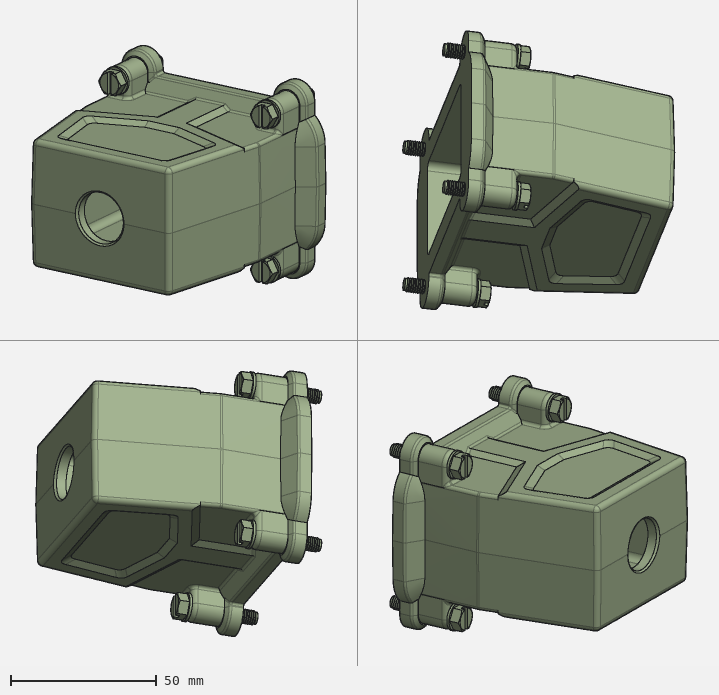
import cadquery as cq
import math


hood_depth = 74.8
hood_half_width = 36.55
front_half_width = 28.8
taper_start = 30.5
plateau_z = 23.1
relief_depth = 1.5
hood_draft = 1.3
front_edge_radius = 2.0
relief_edge_radius = 1.3
taper_blend_radius = 4.3

wall_run = 2.75
wall_angle = math.degrees(math.atan(wall_run / relief_depth))
strip_half_width = 5.8
shoulder_depth = 30.4
shoulder_slope = 0.355

pocket_top_half_width = 6.45
pocket_top_depth = 35.6
pocket_half_width = 27.4
pocket_bottom_depth = 67.9
pocket_bottom_half_width = 22.7
pocket_corner_radius = 6.0

flange_half_width = 43.0
flange_corner_half_width = 42.4
flange_corner_radius = 13.1
flange_half_height = 27.2
flange_edge_depth = 4.8
flange_slope_run = 6.9
flange_slope_depth = 4.3
plate_edge_radius = 1.0

screw_x = 31.4
screw_z = 28.0
lug_root_z = 20.6
pad_half_width = 7.05
pad_top_z = 35.48
pad_edge_depth = 4.8
pad_slope_run = 2.1
pad_slope_depth = 1.4
boss_half_width = 4.7
boss_top_z = 32.9
boss_depth = 17.9
boss_edge_radius = 2.15
hood_root_radius = 1.2
pad_root_radius = 0.9

washer_diameter = 10.0
washer_thickness = 0.95
head_across_flats = 8.0
head_height = 3.8
crown_height = 0.35
crown_inset = 0.8
slot_width = 1.5
slot_depth = 1.5
thread_diameter = 5.0
thread_root_diameter = 4.2
thread_pitch = 0.8
thread_turns = 8
thread_tip = 7.1

entry_diameter = 18.5
entry_chamfer = 0.9
front_wall = 4.3
cavity_half_width = 26.7
cavity_half_height = 18.9
cavity_corner_radius = 2.6


def mirrored_pair(upper):
    return upper.union(upper.mirror("XY"))


def edges_near(x, y):
    """Selector for the upright edges whose middle lies near (x, y)."""
    reach = 1.3
    return cq.selectors.BoxSelector((x - reach, y - reach, 0.9), (x + reach, y + reach, plateau_z - 0.9))


def hood_half(height, edge_radius):
    """Upper half of the drafted hood, from the parting plane to the given height."""
    outline = [
        (-hood_half_width, 0),
        (-hood_half_width, -taper_start),
        (-front_half_width, -hood_depth),
        (front_half_width, -hood_depth),
        (hood_half_width, -taper_start),
        (hood_half_width, 0),
    ]
    half = cq.Workplane("XY").polyline(outline).close().extrude(height, taper=hood_draft)
    for side in (-1, 1):
        half = half.edges(edges_near(side * hood_half_width, -taper_start)).fillet(taper_blend_radius)
        half = half.edges(edges_near(side * front_half_width, -hood_depth)).fillet(front_edge_radius)
    return half.faces(">Z").edges("not >Y").fillet(edge_radius)


def relief_cutter(side):
    """Sloped-wall cutter beside the raised strip, running out past the hood's side.

    It reaches below the relief floor so that the floor's own rounded side edge stays clear.
    """
    outer_x = flange_half_width + wall_run
    run_out_depth = shoulder_depth + shoulder_slope * (outer_x - strip_half_width)
    outline = [
        (side * strip_half_width, wall_run),
        (side * strip_half_width, -shoulder_depth),
        (side * outer_x, -run_out_depth),
        (side * outer_x, wall_run),
    ]
    plane = cq.Workplane("XY").workplane(offset=plateau_z)
    cutter = plane.polyline(outline).close().extrude(-relief_depth, taper=wall_angle)
    return cutter.faces("<Z").wires().toPending().workplane().extrude(relief_edge_radius)


def pocket_cutter():
    pocket_side_depth = pocket_top_depth + shoulder_slope * (pocket_half_width - pocket_top_half_width)
    outline = [
        (-pocket_top_half_width, -pocket_top_depth),
        (-pocket_half_width, -pocket_side_depth),
        (-pocket_bottom_half_width, -pocket_bottom_depth),
        (pocket_bottom_half_width, -pocket_bottom_depth),
        (pocket_half_width, -pocket_side_depth),
        (pocket_top_half_width, -pocket_top_depth),
    ]
    plane = cq.Workplane("XY").workplane(offset=plateau_z)
    pocket = plane.polyline(outline).close().extrude(-relief_depth, taper=wall_angle)
    corners = pocket.edges("not (<Z or >Z)").edges("not >Y")
    return corners.fillet(pocket_corner_radius)


def make_hood():
    raised = hood_half(plateau_z, front_edge_radius)
    for side in (-1, 1):
        raised = raised.cut(relief_cutter(side))
    upper = raised.union(hood_half(plateau_z - relief_depth, relief_edge_radius))
    return mirrored_pair(upper.cut(pocket_cutter()))


def slope_rim(plate, edge_depth, slope_depth, slope_run):
    """Slope the front rim of a plate inward and blend the slope into its straight sides."""
    plate = plate.faces("<Y").chamfer(slope_depth, slope_run)
    rim = cq.selectors.BoxSelector(
        (-hood_depth, -edge_depth - 0.1, -hood_depth), (hood_depth, -edge_depth + 0.1, hood_depth)
    )
    return plate.edges(rim).fillet(plate_edge_radius)


def make_flange():
    """Flange with slightly pointed ends and large corner rounds, sloping down onto the hood."""
    outline = [
        (-flange_half_width, 0),
        (-flange_corner_half_width, flange_half_height),
        (flange_corner_half_width, flange_half_height),
        (flange_half_width, 0),
        (flange_corner_half_width, -flange_half_height),
        (-flange_corner_half_width, -flange_half_height),
    ]
    flange = cq.Workplane("XZ").polyline(outline).close().extrude(flange_edge_depth + flange_slope_depth)
    flange = flange.edges("|Y").edges("<Z or >Z").fillet(flange_corner_radius)
    return slope_rim(flange, flange_edge_depth, flange_slope_depth, flange_slope_run)


def lug_outline(half_width, top_z):
    """Round-topped outline of the upper right lug, rooted inside the hood."""
    arc_z = top_z - half_width
    outline = cq.Workplane("XZ").moveTo(screw_x - half_width, lug_root_z)
    outline = outline.lineTo(screw_x - half_width, arc_z)
    outline = outline.threePointArc((screw_x, top_z), (screw_x + half_width, arc_z))
    return outline.lineTo(screw_x + half_width, lug_root_z).close()


def make_lug():
    pad = lug_outline(pad_half_width, pad_top_z).extrude(pad_edge_depth + pad_slope_depth)
    pad = slope_rim(pad, pad_edge_depth, pad_slope_depth, pad_slope_run)
    boss = lug_outline(boss_half_width, boss_top_z).extrude(boss_depth)
    boss = boss.faces("<Y").edges("not <Z").fillet(boss_edge_radius)
    return pad.union(boss)


def make_screw():
    """Slotted hexagon screw with washer; its grooved thread stands out behind the flange."""
    seat = cq.Workplane("XZ", origin=(screw_x, -boss_depth, screw_z))
    washer = seat.circle(washer_diameter / 2).extrude(washer_thickness)
    head_width = head_across_flats / math.cos(math.pi / 6)
    head_base = seat.workplane(offset=washer_thickness)
    head = head_base.polygon(6, head_width).extrude(head_height)
    crown = head_base.circle(head_width / 2).extrude(head_height)
    head = head.intersect(crown.faces("<Y").chamfer(crown_height, crown_inset))
    slot = head_base.workplane(offset=head_height - slot_depth)
    head = head.cut(slot.rect(slot_width, head_width).extrude(slot_depth))

    root_radius = thread_root_diameter / 2
    profile = [(0, -boss_depth), (root_radius, -boss_depth), (root_radius, 0)]
    for turn in range(thread_turns):
        start = turn * thread_pitch
        profile.append((thread_diameter / 2, start + thread_pitch / 2))
        profile.append((root_radius, start + thread_pitch))
    profile += [(root_radius, thread_tip), (0, thread_tip)]
    shank = cq.Workplane("XY").polyline(profile).close().revolve(360, (0, 0, 0), (0, 1, 0))
    return washer.union(head).union(shank.translate((screw_x, 0, screw_z)))


def at_all_corners(upper_right):
    upper = upper_right.union(upper_right.mirror("YZ"))
    return mirrored_pair(upper)


def make_cavity():
    """Box-shaped hollow open at the mating face."""
    cavity = cq.Workplane("XZ").rect(2 * cavity_half_width, 2 * cavity_half_height)
    cavity = cavity.extrude(hood_depth - front_wall)
    return cavity.edges("|Y").fillet(cavity_corner_radius)


def make_cable_entry():
    entry_radius = entry_diameter / 2
    front = cq.Workplane("XZ", origin=(0, -hood_depth, 0))
    bore = front.circle(entry_radius).extrude(-2 * front_wall)
    mouth = front.circle(entry_radius + entry_chamfer).workplane(offset=-entry_chamfer)
    return bore.union(mouth.circle(entry_radius).loft())


def root_selector(low, high):
    """Selector for edges whose middle lies in a box above the parting plane or in its mirror image."""
    upper = cq.selectors.BoxSelector(low, high)
    lower = cq.selectors.BoxSelector((low[0], low[1], -high[2]), (high[0], high[1], -low[2]))
    return upper + lower


def blend_roots(shell):
    """Fillet the inner corners where the flange and lugs rise from the hood."""
    boss_inner_x = screw_x - boss_half_width
    hood_root = root_selector(
        (-boss_inner_x - 0.3, boss_edge_radius - boss_depth, plateau_z - relief_depth - 0.1),
        (boss_inner_x + 0.3, -flange_edge_depth - 1.7, plateau_z + 0.1),
    )
    shell = shell.edges(hood_root).fillet(hood_root_radius)
    pad_inner_x = screw_x - pad_half_width
    pad_root = root_selector(
        (-pad_inner_x - 0.1, -flange_edge_depth + 0.9, flange_half_height - 0.1),
        (pad_inner_x + 0.1, -0.9, flange_half_height + 0.1),
    )
    between = cq.selectors.BoxSelector((-0.9, -flange_edge_depth, -pad_top_z), (0.9, 0, pad_top_z))
    return shell.edges(pad_root - between).fillet(pad_root_radius)


hood = blend_roots(make_hood().union(make_flange()).union(at_all_corners(make_lug())))
hood = hood.cut(make_cavity()).cut(make_cable_entry())
result = hood.union(at_all_corners(make_screw()))